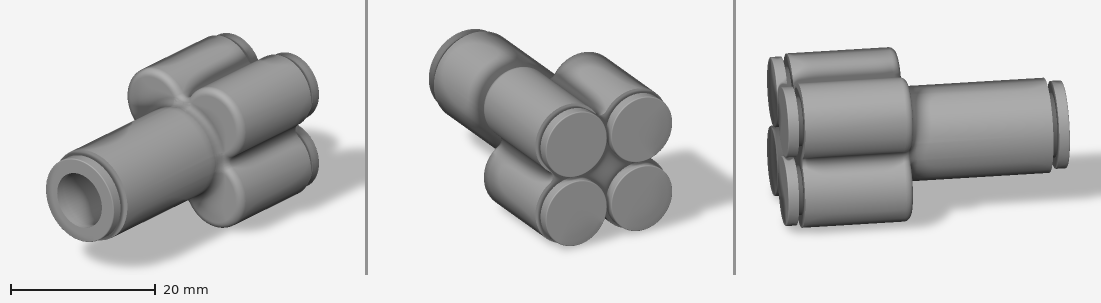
import cadquery as cq
import math

total_length = 40.0
flange_length = 1.5
outlet_neck_length = 0.8
inlet_neck_length = 0.9
outlet_length = 15.2
bore_depth = 15.0

outlet_count = 4
outlet_offset = 5.2
outlet_radius = 5.25
outlet_flange_radius = 4.875
outlet_neck_radius = 3.45

inlet_radius = 6.6
inlet_flange_radius = 6.1
inlet_neck_radius = 4.5
bore_radius = 4.0

body_round = 1.0
ring_edge_round = 0.15

outlet_end = total_length / 2
inlet_end = -total_length / 2
outlet_face = outlet_end - flange_length - outlet_neck_length
inlet_face = inlet_end + flange_length + inlet_neck_length
shoulder = outlet_face - outlet_length

selection_margin = 0.05


def cylinder(radius, y_start, y_end, x=0.0, z=0.0):
    """Solid cylinder parallel to Y, from y_start to y_end."""
    base = cq.Vector(x, y_start, z)
    direction = cq.Vector(0, 1, 0)
    return cq.Workplane(cq.Solid.makeCylinder(radius, y_end - y_start, base, direction))


def quarter_turned(x, z, turns):
    """Point turned clockwise about the origin by a number of quarter turns."""
    for _ in range(turns):
        x, z = z, -x
    return (x, z)


def outlet_cluster():
    """Four outlet barrels as one prism, with rounded valleys between neighbouring lobes."""
    centre_distance = outlet_radius + body_round
    valley_rise = math.sqrt(centre_distance**2 - outlet_offset**2)
    valley_floor = outlet_offset + valley_rise - body_round

    lobe_share = outlet_radius / centre_distance
    tangent_across = outlet_offset * (1 - lobe_share)
    tangent_out = outlet_offset + valley_rise * lobe_share

    lobe_tip = outlet_offset + outlet_radius * math.cos(math.radians(45))

    outline = cq.Workplane("XZ", origin=(0, outlet_face, 0)).moveTo(-tangent_across, tangent_out)
    for turns in range(outlet_count):
        valley_end = quarter_turned(tangent_across, tangent_out, turns)
        outline = outline.threePointArc(quarter_turned(0, valley_floor, turns), valley_end)
        lobe_end = quarter_turned(tangent_out, tangent_across, turns)
        outline = outline.threePointArc(quarter_turned(lobe_tip, lobe_tip, turns), lobe_end)
    prism = outline.close().extrude(outlet_length)
    return prism.faces("<Y").edges().fillet(body_round)


def body():
    """Outlet cluster and inlet barrel, with a fillet where the barrel leaves the shoulder."""
    joined = outlet_cluster().union(cylinder(inlet_radius, inlet_face, outlet_face))
    reach = inlet_radius + selection_margin
    barrel_root = cq.selectors.BoxSelector(
        (-reach, shoulder - selection_margin, -reach),
        (reach, shoulder + selection_margin, reach),
    )
    return joined.edges(barrel_root).fillet(body_round)


def outlet_ring(x, z):
    """Release ring of one outlet: a neck and an end flange with a rounded rim."""
    flange_start = outlet_end - flange_length
    neck = cylinder(outlet_neck_radius, outlet_face, flange_start, x, z)
    flange = cylinder(outlet_flange_radius, flange_start, outlet_end, x, z)
    return neck.union(flange.faces(">Y").edges().fillet(ring_edge_round))


def inlet_ring():
    """Release ring of the inlet: a neck and an end flange with a rounded rim."""
    flange_start = inlet_end + flange_length
    neck = cylinder(inlet_neck_radius, flange_start, inlet_face)
    flange = cylinder(inlet_flange_radius, inlet_end, flange_start)
    return neck.union(flange.faces("<Y").edges().fillet(ring_edge_round))


result = body().union(inlet_ring())
for outlet in range(outlet_count):
    centre_x, centre_z = quarter_turned(outlet_offset, outlet_offset, outlet)
    result = result.union(outlet_ring(centre_x, centre_z))

result = result.cut(cylinder(bore_radius, inlet_end, inlet_end + bore_depth))